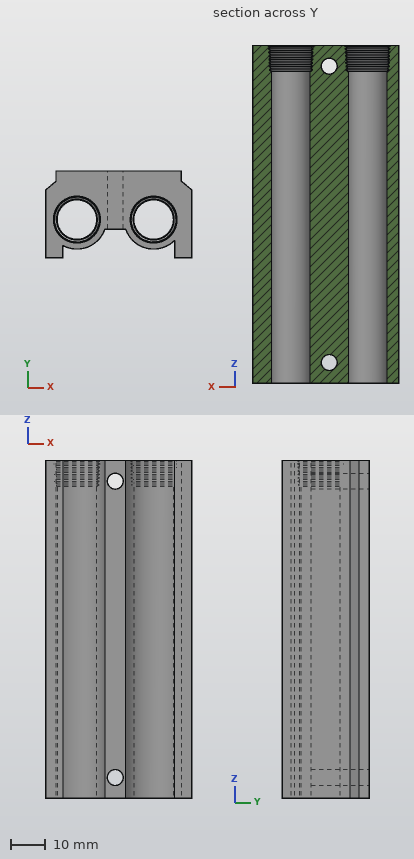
import cadquery as cq

WIDTH = 42.0
DEPTH = 25.0
HEIGHT = 97.0

HALF_WIDTH = WIDTH / 2
BACK_HALF_WIDTH = 18.0
SHOULDER_TOP_Y = 22.0
SHOULDER_BOTTOM_Y = 19.5
LEG_WIDTH = 5.0
LEG_INNER_X = HALF_WIDTH - LEG_WIDTH
CHANNEL_ROOF_Y = 8.2

MIDDLE_X = -1.0
BORE_SPACING = 22.0
BORE_CENTERS_X = (MIDDLE_X - BORE_SPACING / 2, MIDDLE_X + BORE_SPACING / 2)
BORE_Y = 11.0
TUBE_RADIUS = 8.5

THREAD_PITCH = 1.0
GROOVE_COUNT = 7
THREAD_HEIGHT = 0.7
TAPER = 1 / 32
FIRST_CREST_DEPTH = 0.55
BORE_RADIUS = 5.65

MOUTH_RADIUS = 6.75
MOUTH_CHAMFER = 0.3

MOUNT_DIAMETER = 4.5
MOUNT_SPACING = 85.0
MOUNT_MARGIN = (HEIGHT - MOUNT_SPACING) / 2


def make_body():
    """Extruded bar with a front channel and two tube walls standing in it."""
    left_half = [
        (-BACK_HALF_WIDTH, DEPTH),
        (-BACK_HALF_WIDTH, SHOULDER_TOP_Y),
        (-HALF_WIDTH, SHOULDER_BOTTOM_Y),
        (-HALF_WIDTH, 0),
        (-LEG_INNER_X, 0),
        (-LEG_INNER_X, CHANNEL_ROOF_Y),
    ]
    right_half = [(-x, y) for x, y in reversed(left_half)]
    body = cq.Workplane("XY").polyline(left_half + right_half).close().extrude(HEIGHT)
    tubes = (
        cq.Workplane("XY")
        .pushPoints([(x, BORE_Y) for x in BORE_CENTERS_X])
        .circle(TUBE_RADIUS)
        .extrude(HEIGHT)
    )
    return body.union(tubes)


def make_threaded_bore(center_x):
    """Cutting body: a through bore, tapered V grooves at its top and a chamfered mouth."""
    outline = [
        (0, 0),
        (0, HEIGHT),
        (MOUTH_RADIUS, HEIGHT),
        (MOUTH_RADIUS - MOUTH_CHAMFER, HEIGHT - MOUTH_CHAMFER),
    ]
    for groove in range(GROOVE_COUNT):
        crest_z = HEIGHT - FIRST_CREST_DEPTH - groove * THREAD_PITCH
        crest_radius = BORE_RADIUS + (GROOVE_COUNT - groove) * THREAD_PITCH * TAPER
        root_radius = crest_radius + THREAD_HEIGHT - THREAD_PITCH * TAPER / 2
        outline.append((crest_radius, crest_z))
        outline.append((root_radius, crest_z - THREAD_PITCH / 2))
    last_crest_z = HEIGHT - FIRST_CREST_DEPTH - GROOVE_COUNT * THREAD_PITCH
    outline.append((BORE_RADIUS, last_crest_z))
    outline.append((BORE_RADIUS, 0))
    cutter = cq.Workplane("XZ").polyline(outline).close().revolve(360, (0, 0), (0, 1))
    return cutter.translate((center_x, BORE_Y, 0))


def make_mount_holes():
    """Cutting bodies: two holes along Y, midway between the bores."""
    return (
        cq.Workplane("XZ")
        .pushPoints([(MIDDLE_X, MOUNT_MARGIN), (MIDDLE_X, HEIGHT - MOUNT_MARGIN)])
        .circle(MOUNT_DIAMETER / 2)
        .extrude(-DEPTH)
    )


result = make_body().cut(make_mount_holes())
for bore_x in BORE_CENTERS_X:
    result = result.cut(make_threaded_bore(bore_x))